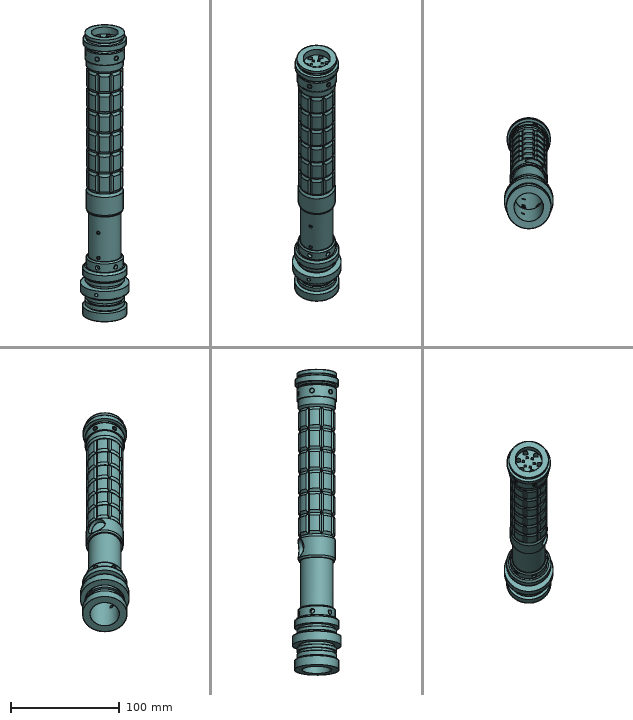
import cadquery as cq
import math

TOTAL_HEIGHT = 281.0
POMMEL_TOP_Z = 48.0
BODY_TOP_Z = 267.2

BORE_RADIUS = 13.5

POMMEL_TURN = 2.8
POMMEL_CAP_RADIUS = 20.5
POMMEL_FLANGE_RADIUS = 22.5
POMMEL_RIB_RADIUS = 18.3
POMMEL_CORE_RADIUS = 16.3
POMMEL_TOP_CHAMFER = 2.0
POMMEL_RINGS = [
    (0.0, 8.5, POMMEL_CAP_RADIUS),
    (10.0, 14.3, POMMEL_RIB_RADIUS),
    (17.1, 20.2, POMMEL_RIB_RADIUS),
    (23.0, 31.2, POMMEL_FLANGE_RADIUS),
    (34.0, 37.5, POMMEL_RIB_RADIUS),
    (40.0, POMMEL_TOP_Z, POMMEL_CAP_RADIUS),
]
FLANGE_HOLE_Z = 27.0

SMALL_HOLE_DIAMETER = 3.0
NECK_HOLE_HEIGHTS = [61.0, 86.3]

FRONT_ANGLE = -90
BACK_ANGLE = 90

SCREW_COUNT = 6
SCREW_DIAMETER = 4.2

LOWER_COLLAR_RADIUS = 17.1
LOWER_COLLAR_TOP_Z = 58.0
LOWER_COLLAR_CHAMFER = 1.5
LOWER_SCREW_Z = 52.0
NECK_RADIUS = 15.2

BAND_RADIUS = 17.1
BAND_BOTTOM_Z = 103.0
BAND_TOP_Z = 123.0
BAND_CHAMFER_WIDTH = 0.8
BAND_CHAMFER_HEIGHT = 2.0
BUTTON_HOLE_RADIUS = 8.7

PAD_ROWS = 6
PAD_COLUMNS = 8
PAD_RADIUS = 17.0
ROW_GROOVE_WIDTH = 5.3
COLUMN_GROOVE_WIDTH = 4.0
PAD_GROOVE_DEPTH = 1.5
GRIP_BOTTOM_Z = 125.5
GRIP_TOP_Z = 246.2
ROW_PITCH = (GRIP_TOP_Z - GRIP_BOTTOM_Z) / PAD_ROWS
GROOVE_BOTTOM_RADIUS = PAD_RADIUS - PAD_GROOVE_DEPTH

SKIRT_RADIUS = 17.1
SKIRT_BOTTOM_Z = 248.5
UPPER_COLLAR_RADIUS = 18.3
UPPER_COLLAR_BOTTOM_Z = 255.5
UPPER_COLLAR_CHAMFER = 0.8
UPPER_SCREW_Z = 261.0
UPPER_SCREW_DEPTH = 0.8

SPIGOT_RADIUS = 15.5
EMITTER_GROOVE_RADIUS = 17.1
EMITTER_GROOVE_DEPTH = 1.0
EMITTER_RINGS = [
    (270.0, 275.0, 20.0),
    (277.5, TOTAL_HEIGHT, 18.3),
]
RECESS_RADIUS = 12.5
RECESS_DEPTH = 6.7
OUTLET_COUNT = 6
OUTER_OUTLET_CIRCLE = 9.8
OUTER_OUTLET_DIAMETER = 4.2
INNER_OUTLET_CIRCLE = 5.0
INNER_OUTLET_DIAMETER = 2.2


def turned(profile):
    """Solid of revolution about Z from (radius, z) points; the profile is closed along the axis."""
    bottom = profile[0][1]
    top = profile[-1][1]
    outline = [(0, bottom)] + profile + [(0, top)]
    return cq.Workplane("XZ").polyline(outline).close().revolve(360, (0, 0), (0, 1))


def upright_cylinder(radius, bottom, top):
    return cq.Workplane("XY").workplane(offset=bottom).circle(radius).extrude(top - bottom)


def radial_drill(diameter, z, angle, floor_distance=0):
    """Cylinder pointing away from the axis, at an angle from +X, that ends outside the widest ring."""
    reach = 2 * POMMEL_FLANGE_RADIUS
    drill = (
        cq.Workplane("YZ")
        .workplane(offset=floor_distance)
        .center(0, z)
        .circle(diameter / 2)
        .extrude(reach - floor_distance)
    )
    return drill.rotate((0, 0, 0), (0, 0, 1), angle)


def drill_screw_ring(body, z, floor_distance=0):
    """Cut evenly spaced set screw holes, one of them facing -Y."""
    for index in range(SCREW_COUNT):
        angle = FRONT_ANGLE + index * 360 / SCREW_COUNT
        body = body.cut(radial_drill(SCREW_DIAMETER, z, angle, floor_distance))
    return body


def pommel_profile():
    """Rings standing out from a straight core."""
    points = []
    for bottom, top, radius in POMMEL_RINGS:
        points += [
            (POMMEL_CORE_RADIUS, bottom),
            (radius, bottom),
            (radius, top),
            (POMMEL_CORE_RADIUS, top),
        ]
    return points


def make_pommel():
    pommel = turned(pommel_profile())
    pommel = pommel.faces(">Z").edges().chamfer(POMMEL_TOP_CHAMFER)
    pommel = pommel.cut(upright_cylinder(BORE_RADIUS, 0, POMMEL_TOP_Z))
    pommel = pommel.cut(radial_drill(SMALL_HOLE_DIAMETER, FLANGE_HOLE_Z, FRONT_ANGLE))
    return pommel.rotate((0, 0, 0), (0, 0, 1), POMMEL_TURN)


def lower_collar_profile():
    return [
        (LOWER_COLLAR_RADIUS, POMMEL_TOP_Z),
        (LOWER_COLLAR_RADIUS, LOWER_COLLAR_TOP_Z - LOWER_COLLAR_CHAMFER),
        (LOWER_COLLAR_RADIUS - LOWER_COLLAR_CHAMFER, LOWER_COLLAR_TOP_Z),
    ]


def neck_profile():
    return [(NECK_RADIUS, LOWER_COLLAR_TOP_Z), (NECK_RADIUS, BAND_BOTTOM_Z)]


def band_profile():
    return [
        (BAND_RADIUS - BAND_CHAMFER_WIDTH, BAND_BOTTOM_Z),
        (BAND_RADIUS, BAND_BOTTOM_Z + BAND_CHAMFER_HEIGHT),
        (BAND_RADIUS, BAND_TOP_Z),
    ]


def grip_profile():
    """Pads in rows, with the bottom of a V groove below the first row and above every row."""
    points = [(GROOVE_BOTTOM_RADIUS, GRIP_BOTTOM_Z)]
    for row in range(PAD_ROWS):
        row_bottom = GRIP_BOTTOM_Z + row * ROW_PITCH
        row_top = row_bottom + ROW_PITCH
        points += [
            (PAD_RADIUS, row_bottom + ROW_GROOVE_WIDTH / 2),
            (PAD_RADIUS, row_top - ROW_GROOVE_WIDTH / 2),
            (GROOVE_BOTTOM_RADIUS, row_top),
        ]
    return points


def upper_collar_profile():
    return [
        (SKIRT_RADIUS, SKIRT_BOTTOM_Z),
        (SKIRT_RADIUS, UPPER_COLLAR_BOTTOM_Z),
        (UPPER_COLLAR_RADIUS, UPPER_COLLAR_BOTTOM_Z),
        (UPPER_COLLAR_RADIUS, BODY_TOP_Z - UPPER_COLLAR_CHAMFER),
        (UPPER_COLLAR_RADIUS - UPPER_COLLAR_CHAMFER, BODY_TOP_Z),
    ]


def cut_column_grooves(body):
    """Cut the upright V grooves that split each row of the grip into pads."""
    half_width = COLUMN_GROOVE_WIDTH / 2
    edge_radius = math.sqrt(PAD_RADIUS**2 - half_width**2)
    flank_slope = half_width / (edge_radius - GROOVE_BOTTOM_RADIUS)
    outer_half_width = flank_slope * (PAD_RADIUS - GROOVE_BOTTOM_RADIUS)
    cutter = (
        cq.Workplane("XY")
        .workplane(offset=GRIP_BOTTOM_Z)
        .polyline(
            [
                (GROOVE_BOTTOM_RADIUS, 0),
                (PAD_RADIUS, outer_half_width),
                (PAD_RADIUS, -outer_half_width),
            ]
        )
        .close()
        .extrude(GRIP_TOP_Z - GRIP_BOTTOM_Z)
    )
    for column in range(PAD_COLUMNS):
        body = body.cut(cutter.rotate((0, 0, 0), (0, 0, 1), column * 360 / PAD_COLUMNS))
    return body


def make_body():
    body = turned(
        lower_collar_profile()
        + neck_profile()
        + band_profile()
        + grip_profile()
        + upper_collar_profile()
    )
    body = cut_column_grooves(body)
    body = body.cut(upright_cylinder(BORE_RADIUS, POMMEL_TOP_Z, UPPER_COLLAR_BOTTOM_Z))
    body = body.cut(upright_cylinder(SPIGOT_RADIUS, UPPER_COLLAR_BOTTOM_Z, BODY_TOP_Z))
    body = drill_screw_ring(body, LOWER_SCREW_Z)
    body = drill_screw_ring(body, UPPER_SCREW_Z, UPPER_COLLAR_RADIUS - UPPER_SCREW_DEPTH)
    for z in NECK_HOLE_HEIGHTS:
        body = body.cut(radial_drill(SMALL_HOLE_DIAMETER, z, FRONT_ANGLE))
    button_z = (BAND_BOTTOM_Z + BAND_CHAMFER_HEIGHT + BAND_TOP_Z) / 2
    return body.cut(radial_drill(2 * BUTTON_HOLE_RADIUS, button_z, BACK_ANGLE))


def emitter_profile():
    """Spigot, then rings with a V groove below each of them."""
    points = [(SPIGOT_RADIUS, UPPER_COLLAR_BOTTOM_Z), (SPIGOT_RADIUS, BODY_TOP_Z)]
    groove_bottom = BODY_TOP_Z
    for bottom, top, radius in EMITTER_RINGS:
        points += [
            (EMITTER_GROOVE_RADIUS, groove_bottom),
            (EMITTER_GROOVE_RADIUS - EMITTER_GROOVE_DEPTH, (groove_bottom + bottom) / 2),
            (EMITTER_GROOVE_RADIUS, bottom),
            (radius, bottom),
            (radius, top),
        ]
        groove_bottom = top
    return points


def make_emitter():
    emitter = turned(emitter_profile())
    emitter = emitter.cut(upright_cylinder(RECESS_RADIUS, TOTAL_HEIGHT - RECESS_DEPTH, TOTAL_HEIGHT))
    for circle_radius, diameter in [
        (OUTER_OUTLET_CIRCLE, OUTER_OUTLET_DIAMETER),
        (INNER_OUTLET_CIRCLE, INNER_OUTLET_DIAMETER),
    ]:
        outlets = (
            cq.Workplane("XY")
            .workplane(offset=UPPER_COLLAR_BOTTOM_Z)
            .polarArray(circle_radius, BACK_ANGLE, 360, OUTLET_COUNT)
            .circle(diameter / 2)
            .extrude(TOTAL_HEIGHT - UPPER_COLLAR_BOTTOM_Z)
        )
        emitter = emitter.cut(outlets)
    return emitter


pommel = make_pommel()
body = make_body()
emitter = make_emitter()

result = cq.Compound.makeCompound([pommel.val(), body.val(), emitter.val()])